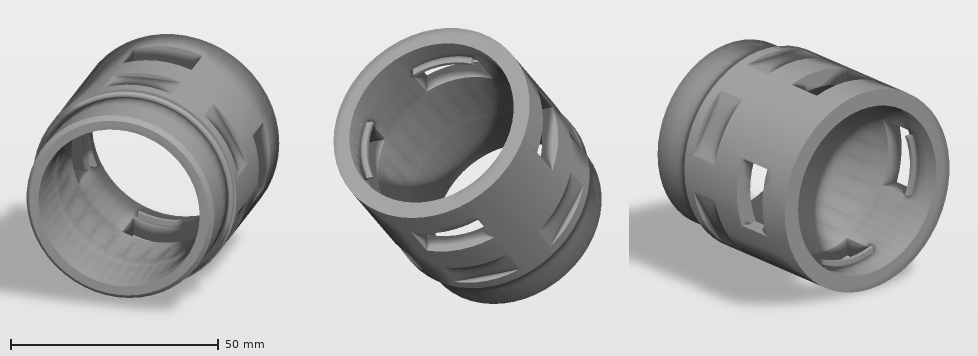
import cadquery as cq

length = 52.5
body_start = 13.9
bead_centre = 13.5
taper_start = 15.75

body_radius = 25.5
bead_radius = 25.0
bead_section_radius = 0.8
neck_radius = 23.45
neck_bore_radius = 20.15
rear_bore_radius = 21.35
neck_chamfer = 1.05

flat_count = 6
flat_distance = 24.05
flat_start = 16.9
flat_length = 8.2

window_count = 4
window_width = 17.3
window_start = 34.05
window_length = 9.85
lip_radius = 19.7
lip_width = 15.2
lip_gap = 0.5
lip_length = 1.05
lip_start = window_start + window_length + lip_gap


def cylinder(radius, start, span):
    """Solid cylinder on the Y axis beginning at y = start."""
    return cq.Workplane("XZ", origin=(0, start, 0)).circle(radius).extrude(-span)


def block(width, start, span, bottom, top):
    """Block centred on X, between two heights."""
    plane = cq.Workplane("XY", origin=(0, start, bottom))
    return plane.box(width, span, top - bottom, centered=(True, False, False))


def around_axis(shape, count):
    """Evenly spaced copies of a shape around the Y axis."""
    copies = cq.Workplane("XY")
    for index in range(count):
        copies = copies.add(shape.rotate((0, 0, 0), (0, 1, 0), index * 360 / count))
    return copies.combine()


def make_bead():
    """Round ring resting on the neck and sunk into the front of the body."""
    centre_radius = bead_radius - bead_section_radius
    section = cq.Workplane("XY").center(centre_radius, bead_centre).circle(bead_section_radius)
    return section.revolve(360, (-centre_radius, 0, 0), (-centre_radius, 1, 0))


def make_outside():
    neck = cylinder(neck_radius, 0, body_start).faces("<Y").chamfer(neck_chamfer)
    body = cylinder(body_radius, body_start, length - body_start)
    return neck.union(make_bead()).union(body)


def make_bore():
    profile = [
        (0, 0),
        (neck_bore_radius, 0),
        (neck_bore_radius, taper_start),
        (rear_bore_radius, window_start),
        (rear_bore_radius, length),
        (0, length),
    ]
    return cq.Workplane("XY").polyline(profile).close().revolve(360, (0, 0, 0), (0, 1, 0))


def make_lips():
    overlap_radius = (rear_bore_radius + flat_distance) / 2
    ring = cylinder(overlap_radius, lip_start, lip_length).cut(cylinder(lip_radius, lip_start, lip_length))
    lip = ring.intersect(block(lip_width, lip_start, lip_length, 0, body_radius))
    return around_axis(lip, window_count)


flat = block(2 * body_radius, flat_start, flat_length, flat_distance, 2 * body_radius)
window = block(window_width, window_start, window_length, 0, 2 * body_radius)

result = (
    make_outside()
    .cut(make_bore())
    .cut(around_axis(flat, flat_count))
    .cut(around_axis(window, window_count))
    .union(make_lips())
)